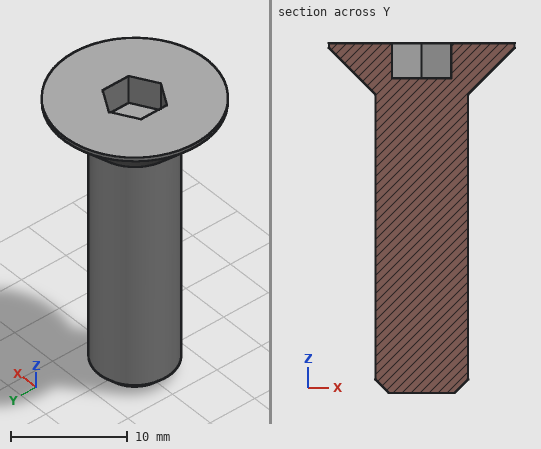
import cadquery as cq

length = 30.0
head_diameter = 16.0
shank_diameter = head_diameter / 2
rim_height = 0.42
tip_chamfer = 1.17
socket_across_flats = 5.07
socket_depth = 3.0

head_radius = head_diameter / 2
shank_radius = shank_diameter / 2
rim_bottom = length - rim_height
cone_bottom = rim_bottom - (head_radius - shank_radius)


def screw_body():
    """Revolve the half outline of the tip, shank and head about Z."""
    half_outline = [
        (0, 0),
        (shank_radius - tip_chamfer, 0),
        (shank_radius, tip_chamfer),
        (shank_radius, cone_bottom),
        (head_radius, rim_bottom),
        (head_radius, length),
        (0, length),
    ]
    return cq.Workplane("XZ").polyline(half_outline).close().revolve(360, (0, 0), (0, 1))


def hex_socket():
    """Hexagonal prism with two flats facing along X."""
    return (
        cq.Workplane("XY")
        .workplane(offset=length - socket_depth)
        .polygon(6, socket_across_flats, circumscribed=True)
        .extrude(socket_depth)
    )


result = screw_body().cut(hex_socket())